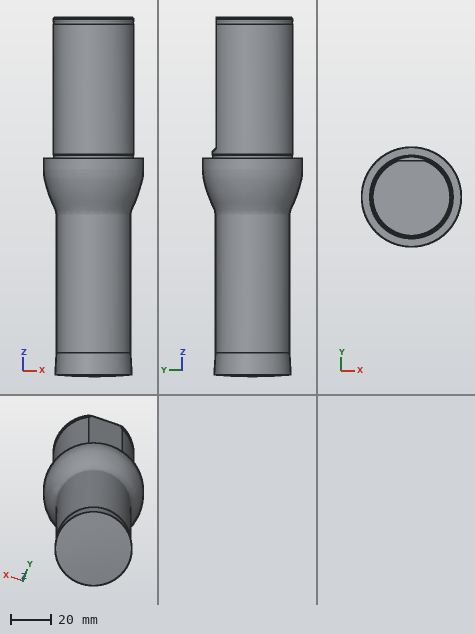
import cadquery as cq
import math

total_length = 178.0
tip_height = 11.7
flare_base_z = 80.3
collar_base_z = 102.9
collar_top_z = 108.2
shank_base_z = 110.2
shank_base_taper = 0.5

stem_radius = 36.8 / 2
collar_radius = 49.5 / 2
shank_radius = 40.0 / 2
neck_radius = 39.5 / 2

flare_points = [
    (19.8, 84.5),
    (21.7, 89.2),
    (23.9, 96.0),
    (collar_radius, collar_base_z),
]

undercut_radius = 20.6
undercut_depth = 0.5

groove_base_z = total_length - 3.4
groove_top_z = total_length - 2.3
land_base_z = total_length - 1.5
top_chamfer = 0.9

flat_offset = 18.0
flat_base_z = 113.4

tip_radius = 19.0
tip_edge_z = 0.9
tip_flare_bulge = 0.04


def make_holder():
    """Stem, flared collar and shank turned in one piece."""
    profile = (
        cq.Workplane("XZ")
        .moveTo(0, tip_height)
        .lineTo(stem_radius, tip_height)
        .lineTo(stem_radius, flare_base_z)
        .spline(flare_points, tangents=[(0, 1), (0, 1)], includeCurrent=True)
        .lineTo(collar_radius, collar_top_z)
        .lineTo(undercut_radius, collar_top_z)
        .lineTo(undercut_radius, collar_top_z - undercut_depth)
        .lineTo(neck_radius, collar_top_z - undercut_depth)
        .lineTo(neck_radius, shank_base_z - shank_base_taper)
        .lineTo(shank_radius, shank_base_z)
        .lineTo(shank_radius, groove_base_z)
        .lineTo(neck_radius, groove_base_z)
        .lineTo(neck_radius, groove_top_z)
        .lineTo(shank_radius, land_base_z)
        .lineTo(shank_radius, total_length - top_chamfer)
        .lineTo(shank_radius - top_chamfer, total_length)
        .lineTo(0, total_length)
        .close()
    )
    turned = profile.revolve(360, (0, 0, 0), (0, 1, 0))
    return turned.cut(make_flat_cutter())


def make_flat_cutter():
    """Block that removes the shank flat, with a 45 degree ramp at its lower end."""
    ramp_length = shank_radius - flat_offset
    return (
        cq.Workplane("YZ")
        .moveTo(flat_offset, flat_base_z)
        .lineTo(shank_radius, flat_base_z - ramp_length)
        .lineTo(shank_radius, total_length)
        .lineTo(flat_offset, total_length)
        .close()
        .extrude(shank_radius, both=True)
    )


def make_tip():
    """Slightly flared cutting end with a shallow domed face."""
    flare_middle = (
        (stem_radius + tip_radius) / 2 + tip_flare_bulge,
        (tip_height + tip_edge_z) / 2,
    )
    dome_radius = (tip_radius**2 + tip_edge_z**2) / (2 * tip_edge_z)
    dome_middle_x = tip_radius / 2
    dome_middle = (dome_middle_x, dome_radius - math.sqrt(dome_radius**2 - dome_middle_x**2))
    return (
        cq.Workplane("XZ")
        .moveTo(0, 0)
        .threePointArc(dome_middle, (tip_radius, tip_edge_z))
        .threePointArc(flare_middle, (stem_radius, tip_height))
        .lineTo(0, tip_height)
        .close()
        .revolve(360, (0, 0, 0), (0, 1, 0))
    )


holder = make_holder()
tip = make_tip()
result = cq.Compound.makeCompound([holder.val(), tip.val()])